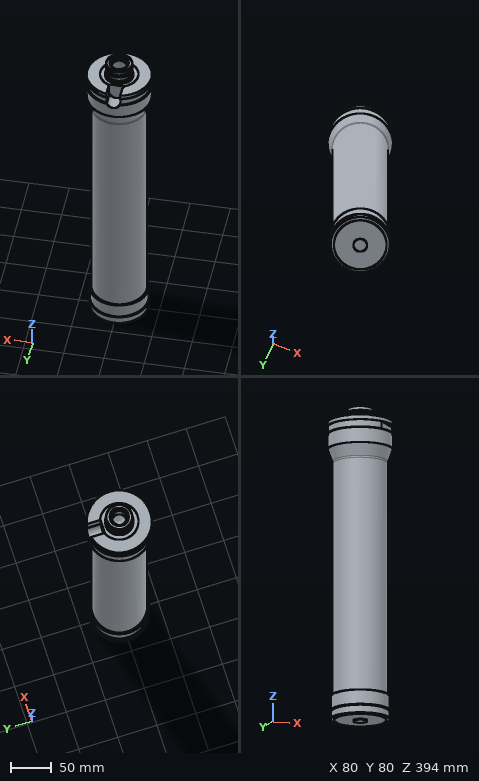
import cadquery as cq
import math

OVERALL_HEIGHT = 394.0
BASE_TOP = 2.5
FOOT_TOP = 1.0
BAND_TOP = 12.0
COLLAR_BOTTOM = 13.0
COLLAR_TOP = 31.0
LIP_BOTTOM = 323.5
CONE_BOTTOM = 326.0
HEAD_BOTTOM = 341.2
HEAD_TOP = 361.0
FLANGE_BOTTOM = 370.0
CAP_TOP = 376.0

BOSS_DIAMETER = 16.5
FOOT_DIAMETER = 64.2
BASE_DIAMETER = 72.5
COLLAR_GROOVE_DIAMETER = 71.7
TUBE_DIAMETER = 68.0
LIP_DIAMETER = 68.5
HEAD_DIAMETER = 80.0
HEAD_CHAMFER = 0.8
HUB_DIAMETER = 47.0
HUB_FLAT_OFFSET = 21.3

NECK_DIAMETER = 32.5
NECK_RIM_DIAMETER = 31.5
NECK_RIM_HEIGHT = 1.5
NECK_GROOVE_DIAMETER = 31.5
NECK_GROOVE_BOTTOMS = (384.0, 386.5)
NECK_GROOVE_WIDTH = 1.0
NECK_ROOT_DIAMETER = 30.0
NECK_ROOT_TOP = 379.0
NECK_ROOT_SHOULDER = 377.0
MOAT_DIAMETER = 34.5
MOAT_DEPTH = 1.0

BORE_MOUTH_DIAMETER = 23.2
BORE_DIAMETER = 21.0
BORE_LOWER_DIAMETER = 18.0
BORE_CHAMFER = (BORE_MOUTH_DIAMETER - BORE_DIAMETER) / 2
BORE_STEP_HEIGHT = 389.5
BORE_CONE_TOP = 376.0
BORE_CONE_ANGLE = 118.0

BAND_DIAMETER = 78.8
SLOT_WIDTH = 17.5
SLOT_FLOOR = 355.5
FLAT_OFFSET = 35.5
FLAT_DIRECTION = -45.0


def cylinder(diameter, bottom, top):
    """Solid cylinder about the Z axis between two heights."""
    return cq.Workplane("XY").workplane(offset=bottom).circle(diameter / 2).extrude(top - bottom)


def revolved(profile):
    """Solid of revolution about Z from (diameter, height) points, closed along the axis."""
    outside = [(diameter / 2, height) for diameter, height in profile]
    points = [*outside, (0, profile[-1][1])]
    if profile[0][0] > 0:
        points.append((0, profile[0][1]))
    return cq.Workplane("XZ").polyline(points).close().revolve(360, (0, 0), (0, 1))


def make_hub(bottom, top):
    """Round hub with one flat facing +Y, shared by the body and the hole of the cap ring."""
    beyond_flat = cq.Workplane("XY").box(
        HUB_DIAMETER, HUB_DIAMETER, top - bottom, centered=(True, False, False)
    ).translate((0, HUB_FLAT_OFFSET, bottom))
    return cylinder(HUB_DIAMETER, bottom, top).cut(beyond_flat)


def make_shell():
    """Base, tube and conical head."""
    return revolved([
        (BOSS_DIAMETER, 0),
        (BOSS_DIAMETER, FOOT_TOP),
        (FOOT_DIAMETER, FOOT_TOP),
        (FOOT_DIAMETER, BASE_TOP),
        (BASE_DIAMETER, BASE_TOP),
        (BASE_DIAMETER, BAND_TOP),
        (COLLAR_GROOVE_DIAMETER, BAND_TOP),
        (COLLAR_GROOVE_DIAMETER, COLLAR_BOTTOM),
        (BASE_DIAMETER, COLLAR_BOTTOM),
        (BASE_DIAMETER, COLLAR_TOP),
        (TUBE_DIAMETER, COLLAR_TOP),
        (TUBE_DIAMETER, LIP_BOTTOM),
        (LIP_DIAMETER, CONE_BOTTOM),
        (HEAD_DIAMETER, HEAD_BOTTOM),
        (HEAD_DIAMETER, HEAD_TOP - HEAD_CHAMFER),
        (HEAD_DIAMETER - 2 * HEAD_CHAMFER, HEAD_TOP),
    ])


def make_neck():
    """Grooved neck that stands in a shallow moat on the hub."""
    neck = revolved([
        (NECK_ROOT_DIAMETER, CAP_TOP - MOAT_DEPTH),
        (NECK_ROOT_DIAMETER, NECK_ROOT_SHOULDER),
        (NECK_DIAMETER, NECK_ROOT_TOP),
        (NECK_DIAMETER, OVERALL_HEIGHT - NECK_RIM_HEIGHT),
        (NECK_RIM_DIAMETER, OVERALL_HEIGHT - NECK_RIM_HEIGHT),
        (NECK_RIM_DIAMETER, OVERALL_HEIGHT),
    ])
    for bottom in NECK_GROOVE_BOTTOMS:
        top = bottom + NECK_GROOVE_WIDTH
        groove = cylinder(NECK_DIAMETER, bottom, top).cut(cylinder(NECK_GROOVE_DIAMETER, bottom, top))
        neck = neck.cut(groove)
    return neck


def make_bore():
    """Stepped blind bore with a chamfered mouth and a conical bottom."""
    cone_depth = BORE_LOWER_DIAMETER / 2 / math.tan(math.radians(BORE_CONE_ANGLE / 2))
    return revolved([
        (0, BORE_CONE_TOP - cone_depth),
        (BORE_LOWER_DIAMETER, BORE_CONE_TOP),
        (BORE_LOWER_DIAMETER, BORE_STEP_HEIGHT),
        (BORE_DIAMETER, BORE_STEP_HEIGHT),
        (BORE_DIAMETER, OVERALL_HEIGHT - BORE_CHAMFER),
        (BORE_MOUTH_DIAMETER, OVERALL_HEIGHT),
    ])


def make_filter_body():
    """Shell with the hub and bored neck on top."""
    moat = cylinder(MOAT_DIAMETER, CAP_TOP - MOAT_DEPTH, CAP_TOP)
    hub = make_hub(HEAD_TOP, CAP_TOP).cut(moat)
    return make_shell().cut(make_slot()).union(hub).union(make_neck()).cut(make_bore())


def make_slot():
    """Slot running out from the hub flat towards +Y, with a half-round bottom in the head."""
    radius = SLOT_WIDTH / 2
    arc_height = SLOT_FLOOR + radius
    return (
        cq.Workplane("XZ")
        .moveTo(-radius, CAP_TOP)
        .lineTo(-radius, arc_height)
        .threePointArc((0, SLOT_FLOOR), (radius, arc_height))
        .lineTo(radius, CAP_TOP)
        .close()
        .extrude(-HEAD_DIAMETER)
        .translate((0, HUB_FLAT_OFFSET, 0))
    )


def make_cap_ring():
    """Flanged ring around the hub, with a radial slot at +Y and a flat on its lower band."""
    height = CAP_TOP - HEAD_TOP
    band = cylinder(BAND_DIAMETER, HEAD_TOP, FLANGE_BOTTOM)
    beyond_flat = cq.Workplane("XY").box(
        HEAD_DIAMETER, HEAD_DIAMETER, height, centered=(False, True, False)
    ).translate((FLAT_OFFSET, 0, HEAD_TOP)).rotate((0, 0, 0), (0, 0, 1), FLAT_DIRECTION)
    flange = cylinder(HEAD_DIAMETER, FLANGE_BOTTOM, CAP_TOP)
    return band.cut(beyond_flat).union(flange).cut(make_hub(HEAD_TOP, CAP_TOP)).cut(make_slot())


filter_body = make_filter_body()
cap_ring = make_cap_ring()

result = cq.Compound.makeCompound([filter_body.val(), cap_ring.val()])